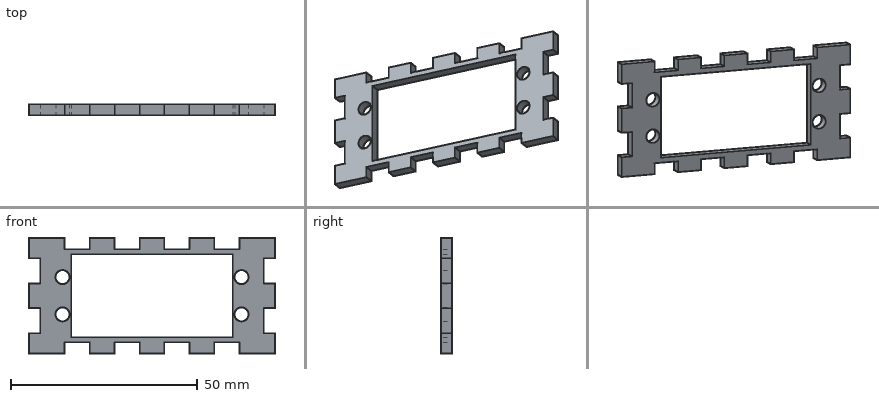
import cadquery as cq

length = 66.0
height = 31.0
thickness = 3.0

notch_depth = thickness
notch_width = 6.7
notch_pitch = 2 * notch_width
notches_per_long_edge = 4
notches_per_short_edge = 2

window_length = 43.2
window_height = 22.2

hole_diameter = 3.7
hole_spacing_x = 48.0
hole_spacing_z = 10.0


def notch_centres(count):
    """Positions of evenly pitched notches, centred on the middle of an edge."""
    return [(i - (count - 1) / 2) * notch_pitch for i in range(count)]


def through_box(size_x, size_z, x=0, z=0):
    """Cutting block through the full plate thickness, centred at (x, z)."""
    return cq.Workplane("XY").box(size_x, thickness, size_z).translate((x, 0, z))


def cut_edge_notches(plate):
    """Cut open notches into all four edges."""
    edge_x = (length - notch_depth) / 2
    edge_z = (height - notch_depth) / 2
    for side in (-1, 1):
        for x in notch_centres(notches_per_long_edge):
            plate = plate.cut(through_box(notch_width, notch_depth, x, side * edge_z))
        for z in notch_centres(notches_per_short_edge):
            plate = plate.cut(through_box(notch_depth, notch_width, side * edge_x, z))
    return plate


def mounting_holes():
    """Four through cylinders along Y, on a rectangle about the plate centre."""
    return (
        cq.Workplane("XZ")
        .rarray(hole_spacing_x, hole_spacing_z, 2, 2)
        .circle(hole_diameter / 2)
        .extrude(thickness / 2, both=True)
    )


plate = cq.Workplane("XY").box(length, thickness, height)
plate = cut_edge_notches(plate)
plate = plate.cut(through_box(window_length, window_height))
result = plate.cut(mounting_holes())